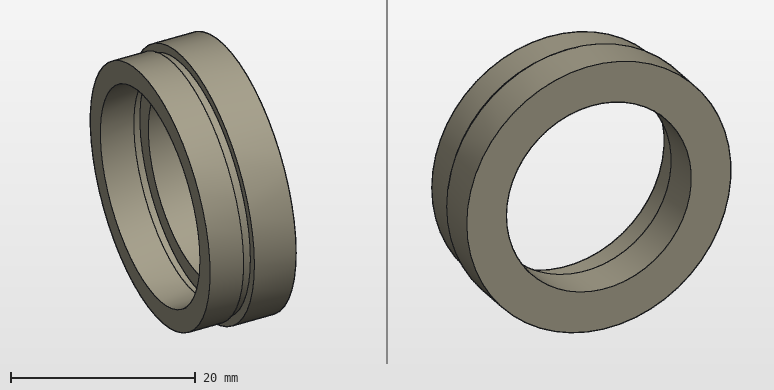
import cadquery as cq

outer_diameter = 31.75
front_diameter = 30.5
groove_diameter = 29.7
bore_diameter = 22.2
counterbore_diameter = 25.3
relief_diameter = 26.5

length = 10.0
rear_length = length / 2
front_length = 4.0
groove_width = length - rear_length - front_length
front_face = -length / 2


def disc(diameter, start, thickness):
    """Solid disc whose -Y face lies at start, extending toward +Y."""
    plane = cq.Plane(origin=(0, start, 0), xDir=(1, 0, 0), normal=(0, 1, 0))
    return cq.Workplane(plane).circle(diameter / 2).extrude(thickness)


groove_start = front_face + front_length
rear_start = groove_start + groove_width

front_collar = disc(front_diameter, front_face, front_length)
groove_core = disc(groove_diameter, groove_start, groove_width)
rear_flange = disc(outer_diameter, rear_start, rear_length)
body = front_collar.union(groove_core).union(rear_flange)

bore = disc(bore_diameter, front_face, length)
counterbore = disc(counterbore_diameter, front_face, front_length)
relief = disc(relief_diameter, groove_start, groove_width)

result = body.cut(bore).cut(counterbore).cut(relief)